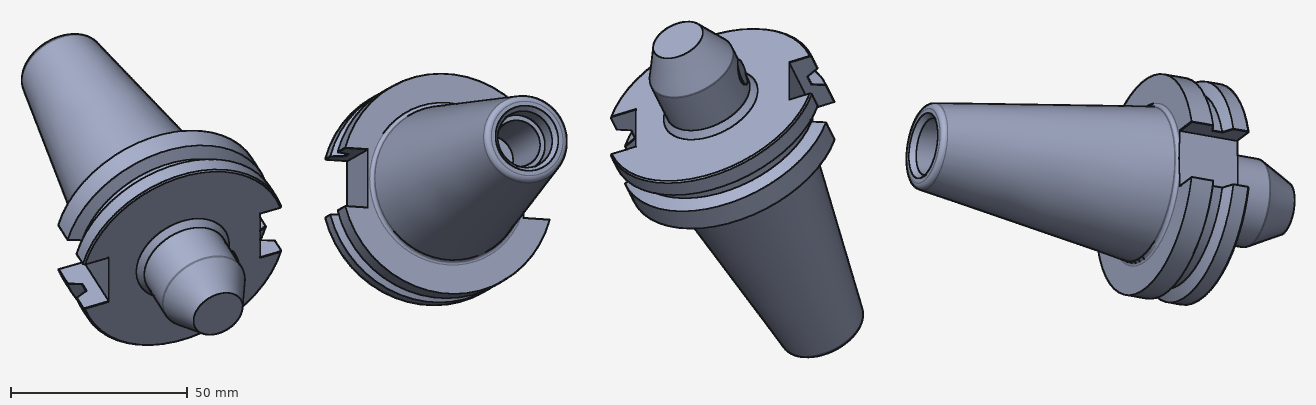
import cadquery as cq
import math

total_length = 113.0

taper_end_x = 68.2
taper_large_radius = 44.4 / 2
taper_half_angle = math.atan(7 / 48)
small_end_rounding = 1.8
collar_fillet = 1.1

flange_start_x = 69.5
flange_end_x = 87.7
flange_radius = 31.71
flange_chamfer = 0.5
groove_bottom_radius = 28.1
groove_start_x = 76.3
groove_end_x = 82.6
groove_side_run = 1.7

slot_width = 16.6
positive_slot_floor = 23.9
negative_slot_floor = 22.7
slot_chamfer = 0.17

nose_radius = 25.4 / 2
nose_fillet = 2.0
nose_fillet_rise = 1.6
nose_cone_start_x = 102.8
nose_cone_rounding = 0.7
nose_tip_radius = 7.6

bore_radius = 16.3 / 2
bore_depth = 8.0
bore_mouth_radius = 9.4
bore_mouth_depth = 1.7
inner_bore_radius = 13.3 / 2
inner_bore_depth = 31.7

screw_head_diameter = 7.5
screw_head_x = 95.5


def revolve_about_x(outline):
    """Revolve a closed (x, radius) outline about the X axis."""
    return outline.close().revolve(360, (0, 0, 0), (1, 0, 0))


def make_body():
    slope = math.tan(taper_half_angle)
    small_radius = taper_large_radius - slope * taper_end_x
    turn = math.pi / 2 - taper_half_angle
    tangent_length = small_end_rounding * math.tan(turn / 2)
    round_end_x = tangent_length * math.cos(taper_half_angle)
    round_end_radius = small_radius + slope * round_end_x
    round_center_radius = small_radius - tangent_length
    mid_angle = turn / 2
    round_mid = (
        small_end_rounding * (1 - math.cos(mid_angle)),
        round_center_radius + small_end_rounding * math.sin(mid_angle),
    )
    arc_inset = collar_fillet * (1 - math.sqrt(0.5))
    collar_mid = (
        flange_start_x - arc_inset,
        taper_large_radius + arc_inset,
    )
    outline = (
        cq.Workplane("XY")
        .moveTo(0, 0)
        .lineTo(0, round_center_radius)
        .threePointArc(round_mid, (round_end_x, round_end_radius))
        .lineTo(taper_end_x, taper_large_radius)
        .lineTo(flange_start_x - collar_fillet, taper_large_radius)
        .threePointArc(collar_mid, (flange_start_x, taper_large_radius + collar_fillet))
        .lineTo(flange_start_x, flange_radius)
        .lineTo(groove_start_x, flange_radius)
        .lineTo(groove_start_x + groove_side_run, groove_bottom_radius)
        .lineTo(groove_end_x - groove_side_run, groove_bottom_radius)
        .lineTo(groove_end_x, flange_radius)
        .lineTo(flange_end_x - flange_chamfer, flange_radius)
        .lineTo(flange_end_x, flange_radius - flange_chamfer)
        .lineTo(flange_end_x, nose_radius + nose_fillet_rise)
        .lineTo(flange_end_x + nose_fillet, nose_radius)
        .lineTo(nose_cone_start_x, nose_radius)
        .lineTo(total_length, nose_tip_radius)
        .lineTo(total_length, 0)
    )
    cone_start_edge = cq.selectors.BoxSelector(
        (nose_cone_start_x - nose_cone_rounding, -nose_radius, -nose_radius),
        (nose_cone_start_x + nose_cone_rounding, nose_radius, nose_radius),
    )
    return revolve_about_x(outline).edges(cone_start_edge).edges("%CIRCLE").fillet(nose_cone_rounding)


def make_bore():
    outline = (
        cq.Workplane("XY")
        .moveTo(0, 0)
        .lineTo(0, bore_mouth_radius)
        .lineTo(bore_mouth_depth, bore_radius)
        .lineTo(bore_depth, bore_radius)
        .lineTo(bore_depth, inner_bore_radius)
        .lineTo(inner_bore_depth, inner_bore_radius)
        .lineTo(inner_bore_depth, 0)
    )
    return revolve_about_x(outline)


def make_slot(side, floor_y):
    """Slot through the flange, from floor_y outward on the +Y or -Y side."""
    length = flange_end_x - flange_start_x + collar_fillet
    return (
        cq.Workplane("XY")
        .box(length, flange_radius, slot_width)
        .translate((flange_end_x - length / 2, side * (floor_y + flange_radius / 2), 0))
    )


def chamfer_slot_edges(body):
    """Break the edges where the slot walls meet the flange faces and V-groove."""
    walls = body.faces("|Z")
    rim_edges = walls.edges().filter(
        lambda edge: abs(edge.Center().y) > positive_slot_floor + slot_chamfer
    )
    return rim_edges.chamfer(slot_chamfer)


def make_screw_head():
    return (
        cq.Workplane("XZ")
        .center(screw_head_x, 0)
        .circle(screw_head_diameter / 2)
        .extrude(-nose_radius)
    )


result = make_body().cut(make_bore())
result = result.cut(make_slot(1, positive_slot_floor))
result = result.cut(make_slot(-1, negative_slot_floor))
result = chamfer_slot_edges(result)
result = result.union(make_screw_head())